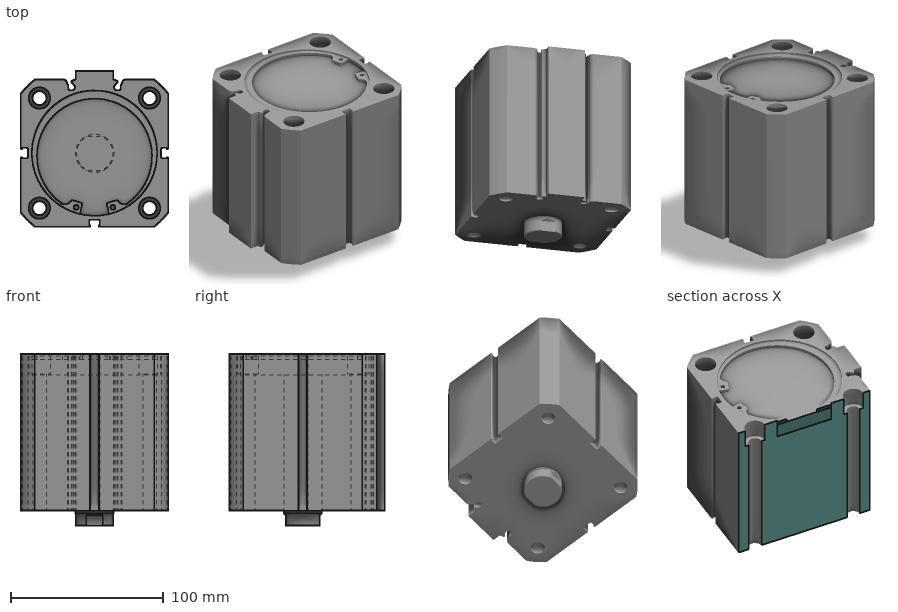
import cadquery as cq
import math

body_width = 96.5
body_height = 102.5
corner_radius = 62.0
half_width = body_width / 2

rail_half_width = 12.4
rail_top = 53.75
rail_tip_upper = (14.7, 47.3)
rail_tip = (15.2, 46.7)
rail_tip_lower = (14.8, 46.0)
undercut_start = (13.5, 44.5)
undercut_middle = (12.85, 43.0)
groove_floor = 41.2
groove_floor_inner = 14.0
groove_foot_radius = 0.9
groove_wall = 17.1
groove_wall_top = 44.4
groove_lip_radius = 3.0
groove_lip_start = 17.8
groove_lip_level = half_width - groove_lip_radius

slot_width = 6.7
slot_mouth_width = 5.3
slot_mouth_chamfer = 0.4
slot_depth = 4.6
slot_lip = 1.1
slot_corner_radius = 0.7

hole_spacing = 72.0
hole_diameter = 9.0
counterbore_diameter = 14.0
counterbore_depth = 13.0

bore_diameter = 82.0
bore_radius = bore_diameter / 2
ring_recess = 1.2
ring_thickness = 2.3
ring_inner_radius = 37.65
ring_inner_offset = -2.0
cap_thickness = 10.0

ring_top = body_height - ring_recess
ring_bottom = ring_top - ring_thickness
cap_bottom = ring_bottom - cap_thickness

lug_root_x = 21.1
lug_notch = (19.0, -33.5)
lug_shoulder = (17.1, -32.9)
lug_peak = (14.6, -30.7)
lug_end = (8.0, -32.8)
lug_foot_x = 9.5
lug_hole = (12.0, -35.5)
lug_hole_diameter = 3.2

rod_diameter = 25.0
rod_radius = rod_diameter / 2
rod_projection = 10.0
rod_end_chamfer = 0.5
nose_diameter = 24.8
nose_radius = nose_diameter / 2
nose_top = -1.75
flat_distance = 22.2
flat_depth = (nose_diameter - flat_distance) / 2


def mirrored(point):
    return (-point[0], point[1])


def rail_groove():
    """Undercut groove on the +X side of the rail, open to the space beside the rail."""
    round_middle = 1 - math.sqrt(0.5)
    lip_middle = groove_lip_radius * round_middle
    foot_middle = groove_foot_radius * round_middle
    return (
        cq.Workplane("XY")
        .moveTo(rail_half_width, rail_top)
        .lineTo(rail_half_width, half_width)
        .lineTo(*rail_tip_upper)
        .threePointArc(rail_tip, rail_tip_lower)
        .lineTo(*undercut_start)
        .threePointArc(undercut_middle, (groove_floor_inner, groove_floor))
        .lineTo(groove_wall - groove_foot_radius, groove_floor)
        .threePointArc(
            (groove_wall - foot_middle, groove_floor + foot_middle),
            (groove_wall, groove_floor + groove_foot_radius),
        )
        .lineTo(groove_wall, groove_wall_top)
        .lineTo(groove_lip_start, groove_lip_level)
        .threePointArc(
            (groove_lip_start + lip_middle, half_width - lip_middle),
            (groove_lip_start + groove_lip_radius, half_width),
        )
        .lineTo(groove_lip_start + groove_lip_radius, rail_top)
        .close()
        .extrude(body_height)
    )


def t_slot(angle):
    """T-slot of the -Y side, turned about the axis by the angle."""
    pocket_depth = slot_depth - slot_lip
    mouth_half = slot_mouth_width / 2
    entry_half = mouth_half + slot_mouth_chamfer
    mouth = (
        cq.Workplane("XY")
        .moveTo(-entry_half, 0)
        .lineTo(-mouth_half, slot_mouth_chamfer)
        .lineTo(-mouth_half, slot_depth)
        .lineTo(mouth_half, slot_depth)
        .lineTo(mouth_half, slot_mouth_chamfer)
        .lineTo(entry_half, 0)
        .close()
        .extrude(body_height)
    )
    pocket = (
        cq.Workplane("XY")
        .box(slot_width, pocket_depth, body_height, centered=(True, False, False))
        .edges("|Z and >Y")
        .fillet(slot_corner_radius)
        .translate((0, slot_lip, 0))
    )
    slot = mouth.union(pocket).translate((0, -half_width, 0))
    return slot.rotate((0, 0, 0), (0, 0, 1), angle)


def make_housing():
    square = cq.Workplane("XY").rect(body_width, body_width).extrude(body_height)
    round_blank = cq.Workplane("XY").circle(corner_radius).extrude(body_height)
    housing = square.intersect(round_blank)

    rail_height = rail_top - groove_floor
    rail = (
        cq.Workplane("XY")
        .box(2 * rail_half_width, rail_height, body_height, centered=(True, False, False))
        .translate((0, groove_floor, 0))
    )
    groove = rail_groove()
    housing = housing.union(rail).cut(groove).cut(groove.mirror("YZ"))

    for angle in (-90, 0, 90):
        housing = housing.cut(t_slot(angle))

    housing = (
        housing.faces(">Z")
        .workplane(origin=(0, 0, body_height))
        .rect(hole_spacing, hole_spacing, forConstruction=True)
        .vertices()
        .cboreHole(hole_diameter, counterbore_diameter, counterbore_depth)
    )
    bore = cq.Workplane("XY").workplane(offset=cap_bottom).circle(bore_radius).extrude(body_height - cap_bottom)
    rod_hole = cq.Workplane("XY").circle(rod_radius).extrude(cap_bottom)
    return housing.cut(bore).cut(rod_hole)


def make_retaining_ring():
    """Eccentric open ring with a pierced lug at each end of its gap."""
    root_drop = math.sqrt(ring_inner_radius**2 - lug_root_x**2)
    lug_root = (lug_root_x, ring_inner_offset - root_drop)
    lug_foot = (lug_foot_x, -math.sqrt(bore_radius**2 - lug_foot_x**2))
    return (
        cq.Workplane("XY")
        .workplane(offset=ring_bottom)
        .moveTo(*lug_foot)
        .lineTo(*lug_end)
        .lineTo(*lug_peak)
        .lineTo(*lug_shoulder)
        .threePointArc(lug_notch, lug_root)
        .threePointArc((0, ring_inner_offset + ring_inner_radius), mirrored(lug_root))
        .threePointArc(mirrored(lug_notch), mirrored(lug_shoulder))
        .lineTo(*mirrored(lug_peak))
        .lineTo(*mirrored(lug_end))
        .lineTo(*mirrored(lug_foot))
        .threePointArc((0, bore_radius), lug_foot)
        .close()
        .extrude(ring_thickness)
        .cut(
            cq.Workplane("XY")
            .workplane(offset=ring_bottom)
            .pushPoints([lug_hole, mirrored(lug_hole)])
            .circle(lug_hole_diameter / 2)
            .extrude(ring_thickness)
        )
    )


def make_end_cap():
    return cq.Workplane("XY").workplane(offset=cap_bottom).circle(bore_radius).extrude(cap_thickness)


def make_rod():
    shank = cq.Workplane("XY").workplane(offset=nose_top).circle(rod_radius).extrude(cap_bottom - nose_top)
    nose = (
        cq.Workplane("XY")
        .workplane(offset=-rod_projection)
        .circle(nose_radius)
        .extrude(rod_projection + nose_top)
        .faces("<Z")
        .chamfer(rod_end_chamfer)
    )
    flat_cutter = (
        cq.Workplane("YZ")
        .moveTo(-nose_radius, nose_top)
        .lineTo(-nose_radius + flat_depth, nose_top - flat_depth)
        .lineTo(-nose_radius + flat_depth, -rod_projection)
        .lineTo(-nose_radius, -rod_projection)
        .close()
        .extrude(rod_radius, both=True)
    )
    nose = nose.cut(flat_cutter).cut(flat_cutter.mirror("XZ"))
    return shank.union(nose)


housing = make_housing()
end_cap = make_end_cap()
retaining_ring = make_retaining_ring()
rod = make_rod()

result = cq.Compound.makeCompound([housing.val(), end_cap.val(), retaining_ring.val(), rod.val()])